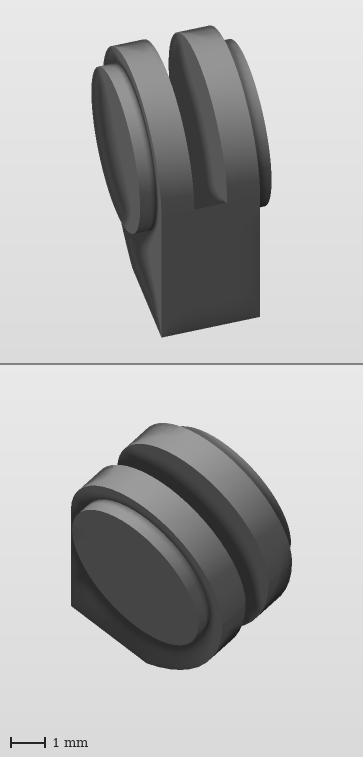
import cadquery as cq
import math

height = 8.0
head_radius = 3.0
boss_radius = 2.5
overall_depth = 4.0
plate_depth = 3.0
slot_width = 1.0

bottom = head_radius - height
flank_radius = (head_radius**2 + bottom**2) / (2 * head_radius)
flank_center_x = flank_radius - head_radius


def extrude_centered(profile, depth):
    """Extrude an XZ profile symmetrically about Y = 0."""
    return profile.extrude(depth / 2, both=True)


def make_body():
    """Round head with a straight right side and a curved left flank."""
    half_angle = math.atan2(-bottom, flank_center_x) / 2
    flank_middle = (
        flank_center_x - flank_radius * math.cos(half_angle),
        -flank_radius * math.sin(half_angle),
    )
    profile = (
        cq.Workplane("XZ")
        .moveTo(-head_radius, 0)
        .threePointArc((0, head_radius), (head_radius, 0))
        .lineTo(head_radius, bottom)
        .lineTo(0, bottom)
        .threePointArc(flank_middle, (-head_radius, 0))
        .close()
    )
    return extrude_centered(profile, plate_depth)


def make_bosses():
    """One cylinder through the head, standing proud of both faces."""
    return extrude_centered(cq.Workplane("XZ").circle(boss_radius), overall_depth)


def make_slot():
    """Slot with a floor following the head circle, then a 45 degree tangent."""
    floor_angle = math.radians(45)
    half_floor_angle = floor_angle / 2
    tangent_x = head_radius * math.cos(floor_angle)
    tangent_z = -head_radius * math.sin(floor_angle)
    outer_x = -height
    outer_z = tangent_z + outer_x - tangent_x
    profile = (
        cq.Workplane("XZ")
        .moveTo(head_radius, 0)
        .threePointArc(
            (head_radius * math.cos(half_floor_angle), -head_radius * math.sin(half_floor_angle)),
            (tangent_x, tangent_z),
        )
        .lineTo(outer_x, outer_z)
        .lineTo(outer_x, height)
        .lineTo(head_radius, height)
        .close()
    )
    return extrude_centered(profile, slot_width)


result = make_body().union(make_bosses()).cut(make_slot())